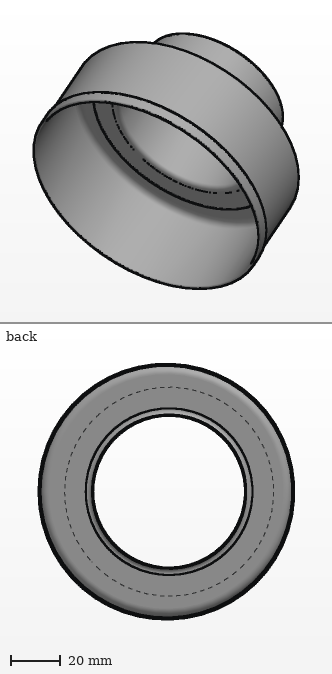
import cadquery as cq
import math


sheet = 0.5
overall_length = 62.0

cup_bore_radius = 100.25 / 2
cup_depth = 38.0
corner_inner_radius = 3.0
cup_hole_radius = 67.05 / 2

rim_outer_radius = 102.85 / 2
hem_length = 5.0

spigot_bore_radius = 61.05 / 2
spigot_offset_x = -1.1
flange_radius = 84.05 / 2
bend_radius = 2.0

cup_outer_radius = cup_bore_radius + sheet
corner_outer_radius = corner_inner_radius + sheet
plate_inner_y = cup_depth - sheet
hem_outer_fold = (rim_outer_radius - cup_bore_radius) / 2
hem_inner_fold = hem_outer_fold - sheet
hem_middle_radius = cup_bore_radius + hem_outer_fold
hem_leg_inner_radius = rim_outer_radius - sheet
spigot_outer_radius = spigot_bore_radius + sheet
flange_inner_y = plate_inner_y - sheet

DIAGONAL = math.sqrt(0.5)


def quarter_point(centre_x, centre_y, radius, side_x, side_y):
    """Point halfway along a quarter arc, in the diagonal direction (side_x, side_y)."""
    reach = radius * DIAGONAL
    return (centre_x + side_x * reach, centre_y + side_y * reach)


def turn(profile, axis_x):
    """Revolve a closed half profile about Y, then move its axis to axis_x."""
    return profile.close().revolve(360, (0, 0, 0), (0, 1, 0)).translate((axis_x, 0, 0))


def make_cup():
    corner_x = cup_bore_radius - corner_inner_radius
    corner_y = plate_inner_y - corner_inner_radius
    profile = (
        cq.Workplane("XY")
        .moveTo(0, plate_inner_y)
        .lineTo(corner_x, plate_inner_y)
        .threePointArc(
            quarter_point(corner_x, corner_y, corner_inner_radius, 1, 1),
            (cup_bore_radius, corner_y),
        )
        .lineTo(cup_bore_radius, hem_outer_fold)
        .threePointArc((hem_middle_radius, 0), (rim_outer_radius, hem_outer_fold))
        .lineTo(rim_outer_radius, hem_length)
        .lineTo(hem_leg_inner_radius, hem_length)
        .lineTo(hem_leg_inner_radius, hem_outer_fold)
        .threePointArc(
            (hem_middle_radius, hem_outer_fold - hem_inner_fold),
            (cup_outer_radius, hem_outer_fold),
        )
        .lineTo(cup_outer_radius, corner_y)
        .threePointArc(
            quarter_point(corner_x, corner_y, corner_outer_radius, 1, 1),
            (corner_x, cup_depth),
        )
        .lineTo(0, cup_depth)
    )
    return turn(profile, 0)


def cut_spigot_hole(body):
    """Round hole through the end plate, on the spigot axis."""
    drill = (
        cq.Workplane("XZ", origin=(spigot_offset_x, plate_inner_y, 0))
        .circle(cup_hole_radius)
        .extrude(-sheet)
    )
    return body.cut(drill)


def make_spigot():
    """Tube whose flange lies flat against the inside of the cup's end plate."""
    inner_bend_x = spigot_bore_radius + bend_radius
    inner_bend_y = flange_inner_y + bend_radius
    outer_bend_x = spigot_outer_radius + bend_radius
    outer_bend_y = plate_inner_y + bend_radius
    profile = (
        cq.Workplane("XY")
        .moveTo(spigot_bore_radius, overall_length)
        .lineTo(spigot_outer_radius, overall_length)
        .lineTo(spigot_outer_radius, outer_bend_y)
        .threePointArc(
            quarter_point(outer_bend_x, outer_bend_y, bend_radius, -1, -1),
            (outer_bend_x, plate_inner_y),
        )
        .lineTo(flange_radius, plate_inner_y)
        .lineTo(flange_radius, flange_inner_y)
        .lineTo(inner_bend_x, flange_inner_y)
        .threePointArc(
            quarter_point(inner_bend_x, inner_bend_y, bend_radius, -1, -1),
            (spigot_bore_radius, inner_bend_y),
        )
    )
    return turn(profile, spigot_offset_x)


cup = cut_spigot_hole(make_cup())
spigot = make_spigot()

result = cq.Compound.makeCompound([cup.val(), spigot.val()])